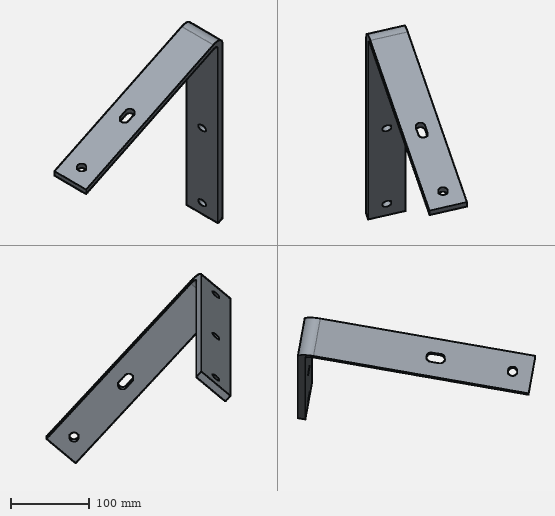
import cadquery as cq

width = 50.0
arm_length = 300.0
leg_height = 405.0

thickness = 10.0
inner_bend_radius = 10.0
outer_bend_radius = inner_bend_radius + thickness

hole_diameter = 12.0
end_margin = 25.0
leg_hole_count = 3
leg_hole_pitch = 165.0
slot_length = 24.0
slot_from_tip = 125.0

inner_face_y = arm_length - thickness
arm_underside_z = leg_height - thickness


def bent_bar():
    """L-shaped strip with a rounded corner, centred on X = 0."""
    sharp_bar = (
        cq.Workplane("YZ")
        .moveTo(0, leg_height)
        .lineTo(arm_length, leg_height)
        .lineTo(arm_length, 0)
        .lineTo(inner_face_y, 0)
        .lineTo(inner_face_y, arm_underside_z)
        .lineTo(0, arm_underside_z)
        .close()
        .extrude(width / 2, both=True)
    )
    outer_corner = cq.selectors.NearestToPointSelector((0, arm_length, leg_height))
    inner_corner = cq.selectors.NearestToPointSelector((0, inner_face_y, arm_underside_z))
    rounded_outside = sharp_bar.edges(outer_corner).fillet(outer_bend_radius)
    return rounded_outside.edges(inner_corner).fillet(inner_bend_radius)


def leg_holes():
    """Row of round holes through the vertical leg."""
    centres = [(0, end_margin + i * leg_hole_pitch) for i in range(leg_hole_count)]
    return (
        cq.Workplane("XZ", origin=(0, arm_length, 0))
        .pushPoints(centres)
        .circle(hole_diameter / 2)
        .extrude(thickness)
    )


def arm_openings():
    """Round hole near the arm tip and a slot running along the arm."""
    arm_plane = cq.Workplane("XY", origin=(0, 0, arm_underside_z))
    tip_hole = arm_plane.center(0, end_margin).circle(hole_diameter / 2).extrude(thickness)
    slot = arm_plane.center(0, slot_from_tip).slot2D(slot_length, hole_diameter, 90).extrude(thickness)
    return tip_hole.union(slot)


result = bent_bar().cut(leg_holes()).cut(arm_openings())